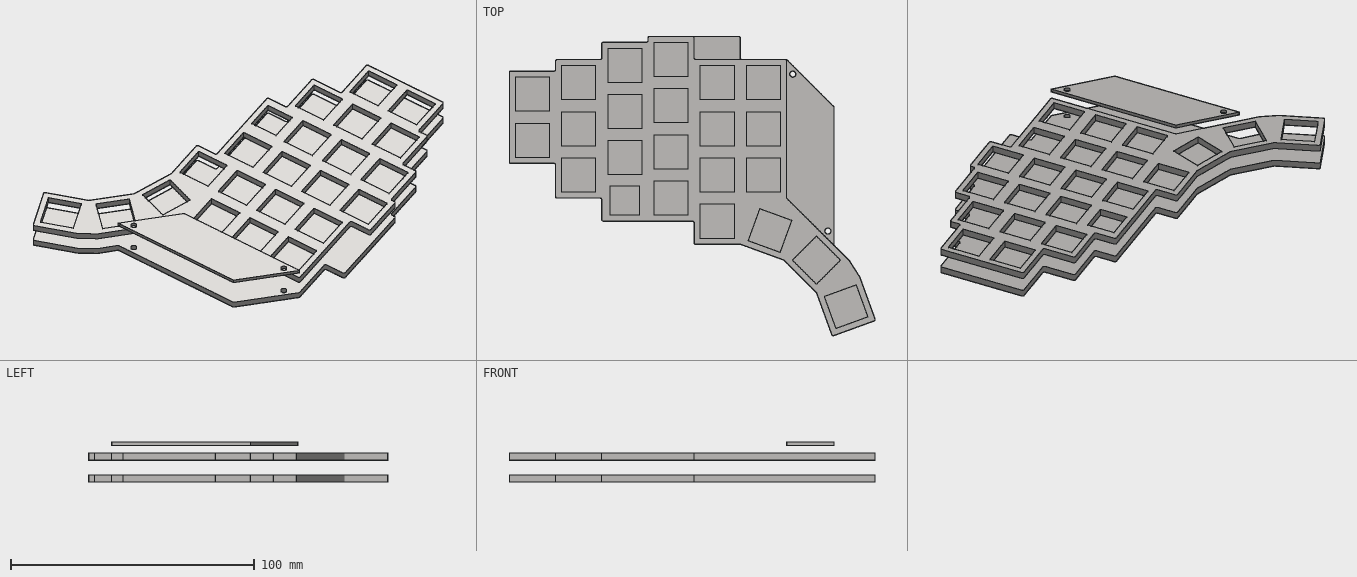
import cadquery as cq
import math

grid_width = 114.0
grid_columns = 6
pitch = grid_width / grid_columns
cutout = 14.0
small_cutout = 12.0

column_tops = [-pitch / 4, 0.0, pitch * 3 / 8, pitch / 2, 0.0, 0.0]
column_keys = [2, 3, 3, 4, 4, 3]
small_key_column = 2

thumb_angles = [-20.0, -45.0, -70.0]

bay_width = 19.5

plate_thickness = 3.0
top_plate_z = 9.0
cover_z = 15.0
cover_thickness = 1.5

corner_radius = 0.68
hole_diameter = 2.4
hole_inset_x = 2.5
hole_inset_y = 6.0


def offset(point, angle, along, across):
    """Move a point along a direction in degrees, then to the left of that direction."""
    cos_a = math.cos(math.radians(angle))
    sin_a = math.sin(math.radians(angle))
    return (point[0] + along * cos_a - across * sin_a, point[1] + along * sin_a + across * cos_a)


column_x = [pitch * i for i in range(grid_columns + 1)]
column_feet = [top - pitch * keys for top, keys in zip(column_tops, column_keys)]
tab_top = column_tops[3]
grid_foot = column_feet[4]

thumb_inner = [(column_x[5], grid_foot)]
for thumb_angle in thumb_angles:
    thumb_inner.append(offset(thumb_inner[-1], thumb_angle, pitch, 0))
thumb_centers = [
    offset(corner, angle, pitch / 2, pitch / 2) for corner, angle in zip(thumb_inner, thumb_angles)
]

middle_outer = offset(thumb_inner[2], thumb_angles[1], 0, pitch)
tip_outer_start = offset(thumb_inner[2], thumb_angles[2], 0, pitch)
tip_outer_end = offset(thumb_inner[3], thumb_angles[2], 0, pitch)

bay_left = column_x[6]
bay_right = bay_left + bay_width
bay_left_foot = (bay_left, column_feet[5])
bay_right_foot = (bay_right, column_feet[5] - bay_width)
bay_outline = [(bay_left, 0), (bay_right, -bay_width), bay_right_foot, bay_left_foot]

small_key_center = (
    column_x[small_key_column] + pitch / 2,
    column_feet[3] + (pitch - cutout + small_cutout) / 2,
)

hole_centers = [
    (bay_left + hole_inset_x, -hole_inset_y),
    (bay_right - hole_inset_x, bay_right_foot[1] + hole_inset_y),
]

upper_left_steps = [(column_x[0], column_tops[0])]
for i in range(3):
    upper_left_steps.append((column_x[i + 1], column_tops[i]))
    upper_left_steps.append((column_x[i + 1], column_tops[i + 1]))

thumb_edge = [middle_outer, tip_outer_start, tip_outer_end, *reversed(thumb_inner)]

lower_left_steps = [
    (column_x[4], grid_foot),
    (column_x[4], column_feet[3]),
    (column_x[2], column_feet[3]),
    (column_x[2], column_feet[1]),
    (column_x[1], column_feet[1]),
    (column_x[1], column_feet[0]),
    (column_x[0], column_feet[0]),
]


def prism(outline, z, thickness):
    """Extrude a closed outline upwards from height z."""
    return cq.Workplane("XY").workplane(offset=z).polyline(outline).close().extrude(thickness)


def make_plate(upper_right_steps, z):
    """Plate with the shared left and thumb edges and rounded vertical corners."""
    outline = upper_left_steps + upper_right_steps + thumb_edge + lower_left_steps
    return prism(outline, z, plate_thickness).edges("|Z").fillet(corner_radius)


def drill_screw_holes(body):
    """Drill the two screw holes of the controller bay right through a body."""
    drills = cq.Workplane("XY").pushPoints(hole_centers).circle(hole_diameter / 2)
    return body.cut(drills.extrude(cover_z + cover_thickness))


def cut_square(body, center, size, angle=0.0):
    """Cut a turned square opening right through a body."""
    cutter = cq.Workplane("XY").rect(size, size).extrude(cover_z)
    return body.cut(cutter.rotate((0, 0, 0), (0, 0, 1), angle).translate((*center, 0)))


def make_bottom_plate():
    """Closed plate that also carries the connector tab and the controller bay floor."""
    tab_and_bay = [
        (column_x[5], tab_top),
        (column_x[5], 0),
        (bay_left, 0),
        (bay_right, -bay_width),
        bay_right_foot,
    ]
    return drill_screw_holes(make_plate(tab_and_bay, 0))


def make_top_plate():
    """Switch plate with one opening per key, open above the tab and the bay."""
    grid_corner = [
        (column_x[4], tab_top),
        (column_x[4], 0),
        (bay_left, 0),
        bay_left_foot,
    ]
    body = make_plate(grid_corner, top_plate_z)
    for left, top, keys in zip(column_x, column_tops, column_keys):
        for row in range(keys):
            body = cut_square(body, (left + pitch / 2, top - (row + 0.5) * pitch), cutout)
    body = cut_square(body, small_key_center, small_cutout)
    for center, angle in zip(thumb_centers, thumb_angles):
        body = cut_square(body, center, cutout, angle)
    return body


def make_cover():
    """Thin sharp-cornered cover floating above the controller bay."""
    return drill_screw_holes(prism(bay_outline, cover_z, cover_thickness))


bottom_plate = make_bottom_plate()
top_plate = make_top_plate()
cover = make_cover()

result = cq.Compound.makeCompound([bottom_plate.val(), top_plate.val(), cover.val()])